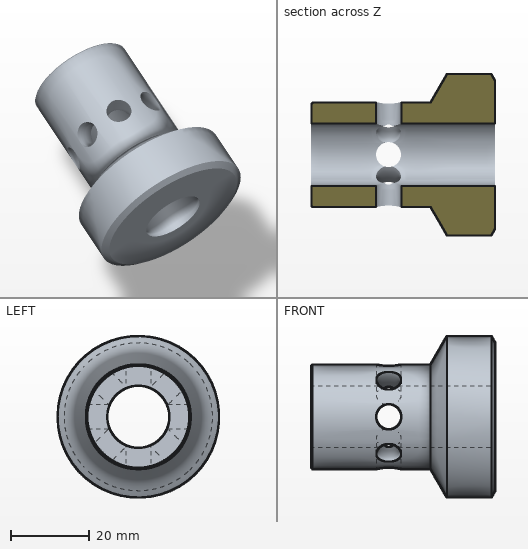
import cadquery as cq
import math

total_length = 46.99
head_diameter = 41.275
sleeve_diameter = 26.8
bore_diameter = 15.8

head_start = 34.6
taper_angle = 60.0
head_chamfer_length = 1.0
sleeve_chamfer = 0.4

cross_hole_diameter = 6.35
cross_hole_count = 8
cross_hole_position = 19.8

head_radius = head_diameter / 2
sleeve_radius = sleeve_diameter / 2
taper_slope = math.tan(math.radians(taper_angle))
shoulder_start = head_start - (head_radius - sleeve_radius) / taper_slope
head_chamfer_depth = head_chamfer_length * taper_slope
sleeve_end = -total_length / 2


def make_body():
    """Solid of revolution: sleeve, conical shoulder and chamfered head."""
    profile = [
        (0, 0),
        (0, sleeve_radius - sleeve_chamfer),
        (sleeve_chamfer, sleeve_radius),
        (shoulder_start, sleeve_radius),
        (head_start, head_radius),
        (total_length - head_chamfer_length, head_radius),
        (total_length, head_radius - head_chamfer_depth),
        (total_length, 0),
    ]
    return cq.Workplane("XY").polyline(profile).close().revolve(360, (0, 0, 0), (1, 0, 0))


def make_bore():
    """Through bore along the axis."""
    return cq.Workplane("YZ").circle(bore_diameter / 2).extrude(total_length)


def make_cross_hole(angle):
    """Radial hole through one side of the sleeve wall, turned about X by angle degrees."""
    hole = (
        cq.Workplane("XY")
        .center(cross_hole_position, 0)
        .circle(cross_hole_diameter / 2)
        .extrude(sleeve_diameter)
    )
    return hole.rotate((0, 0, 0), (1, 0, 0), angle)


body = make_body().cut(make_bore())
for index in range(cross_hole_count):
    body = body.cut(make_cross_hole(index * 360 / cross_hole_count))

result = body.translate((sleeve_end, 0, 0))